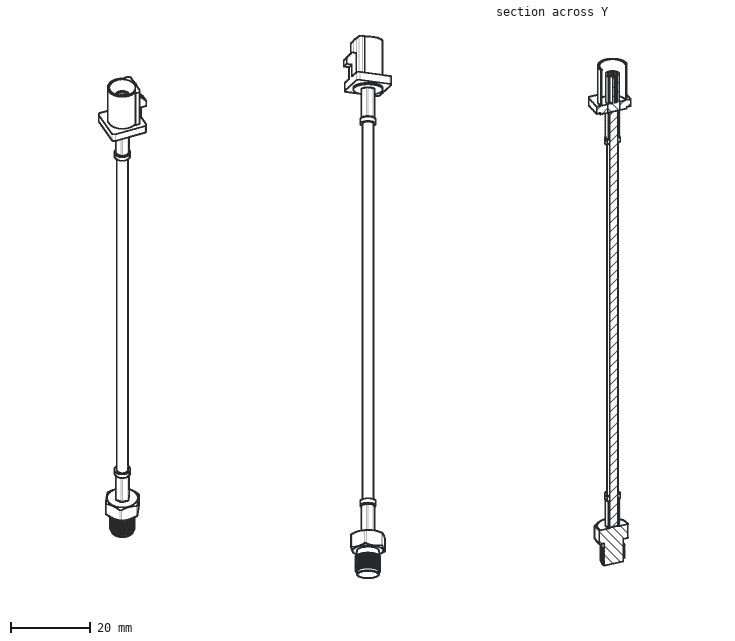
import cadquery as cq
import math

overall_length = 144.0

flange_size = 9.5
flange_top = 133.6
flange_bottom = 131.5
flange_corner_radius = 0.7
boss_height = 0.5
housing_bottom = flange_bottom - boss_height
tube_diameter = 7.5
tube_bore = 6.6

key_width = 6.9
key_inner_y = 2.2
key_outer_y = 3.6
key_corner_radius = 0.7

latch_width = 2.2
latch_root_y = 3.5
latch_rib_y = flange_size / 2
latch_tip_y = 6.2
latch_top = 140.1
latch_slope_end = 138.4
latch_hook_bottom = 136.8

contact_diameter = 3.5
contact_bore = 2.5
contact_top = 141.5
contact_bore_floor = flange_top
pin_diameter = 1.6
pin_tip_diameter = 0.94

cable_diameter = 2.9
ferrule_across_flats = 3.3
ferrule_corner_radius = 0.5
ferrule_rim_diameter = 4.0
ferrule_rim_height = 1.5
ferrule_rim_chamfer = 0.3
ferrule_length = 9.2

nut_across_flats = 8.0
nut_corner_radius = 0.5
nut_bottom = 6.5
nut_top = 10.7
nut_chamfer_height = 0.5
nut_face_diameter = 7.8
thread_major = 6.3
thread_minor = 5.6
thread_pitch = 0.7
thread_flat = 0.1
thread_count = 6
thread_start = 0.9
end_chamfer = 0.1


def cylinder(diameter, bottom, top):
    return cq.Workplane("XY").workplane(offset=bottom).circle(diameter / 2).extrude(top - bottom)


def revolved(outline):
    """Full turn about Z of an outline given as (radius, height) points."""
    return cq.Workplane("XZ").polyline(outline).close().revolve(360, (0, 0, 0), (0, 1, 0))


def across_corners(across_flats):
    """Distance across the sharp corners of a hexagon."""
    return across_flats / math.cos(math.pi / 6)


def hex_prism(across_flats, corner_radius, bottom, top):
    """Hexagonal prism with rounded corners and two flats facing +X and -X."""
    sharp_diameter = across_corners(across_flats)
    prism = cq.Workplane("XY").workplane(offset=bottom).polygon(6, sharp_diameter).extrude(top - bottom)
    return prism.edges("|Z").fillet(corner_radius).rotate((0, 0, 0), (0, 0, 1), 30)


def make_latch():
    """Hooked catch with a sloped lead-in, standing on a rib above the flange."""
    outline = [
        (latch_root_y, flange_top),
        (latch_rib_y, flange_top),
        (latch_rib_y, latch_hook_bottom),
        (latch_tip_y, latch_hook_bottom),
        (latch_tip_y, latch_slope_end),
        (latch_rib_y, latch_top),
        (latch_root_y, latch_top),
    ]
    return cq.Workplane("YZ").polyline(outline).close().extrude(latch_width / 2, both=True)


def make_housing():
    flange = (
        cq.Workplane("XY")
        .workplane(offset=flange_bottom)
        .rect(flange_size, flange_size)
        .extrude(flange_top - flange_bottom)
        .edges("|Z")
        .fillet(flange_corner_radius)
    )
    key = (
        cq.Workplane("XY")
        .workplane(offset=flange_top)
        .center(0, (key_inner_y + key_outer_y) / 2)
        .rect(key_width, key_outer_y - key_inner_y)
        .extrude(overall_length - flange_top)
        .edges("|Z and >Y")
        .fillet(key_corner_radius)
    )
    tube = cylinder(tube_diameter, housing_bottom, overall_length)
    socket = cylinder(tube_bore, flange_top, overall_length)
    contact_hole = cylinder(contact_diameter, housing_bottom, flange_top)
    return flange.union(tube).union(key).union(make_latch()).cut(socket).cut(contact_hole)


def make_contact():
    """Tubular contact with a bevelled centre pin rising from the floor of its bore."""
    shell = cylinder(contact_diameter, housing_bottom, contact_top)
    bore = cylinder(contact_bore, contact_bore_floor, contact_top)
    pin = cylinder(pin_diameter, contact_bore_floor, contact_top)
    pin = pin.faces(">Z").chamfer((pin_diameter - pin_tip_diameter) / 2)
    return shell.cut(bore).union(pin)


def make_ferrule(connector_z, direction):
    """Hexagonal sleeve running from the connector along direction (+1 up, -1 down) to a round rim."""
    far_end = connector_z + direction * ferrule_length
    rim_start = far_end - direction * ferrule_rim_height
    sleeve = hex_prism(ferrule_across_flats, ferrule_corner_radius, connector_z, rim_start)
    rim = cylinder(ferrule_rim_diameter, rim_start, far_end)
    sleeve_side = "<Z" if direction > 0 else ">Z"
    rim = rim.faces(sleeve_side).chamfer(ferrule_rim_chamfer)
    cable_hole = cylinder(cable_diameter, connector_z, far_end)
    return sleeve.union(rim).cut(cable_hole)


def make_cable():
    return cylinder(cable_diameter, nut_top, housing_bottom)


def make_nut():
    """Hexagonal nut whose corners are turned to a cone at both ends."""
    corner_radius = across_corners(nut_across_flats) / 2
    face_radius = nut_face_diameter / 2
    turned_outline = [
        (0, nut_bottom),
        (face_radius, nut_bottom),
        (corner_radius, nut_bottom + nut_chamfer_height),
        (corner_radius, nut_top - nut_chamfer_height),
        (face_radius, nut_top),
        (0, nut_top),
    ]
    prism = hex_prism(nut_across_flats, nut_corner_radius, nut_bottom, nut_top)
    return prism.intersect(revolved(turned_outline))


def make_threaded_end():
    """Chamfered core with the thread modelled as equal ridges with flat crests and roots."""
    core_radius = thread_minor / 2
    crest_radius = thread_major / 2
    flank_height = (thread_pitch - 2 * thread_flat) / 2
    outline = [(0, 0), (core_radius - end_chamfer, 0), (core_radius, end_chamfer)]
    for index in range(thread_count):
        ridge_bottom = thread_start + index * thread_pitch
        crest_bottom = ridge_bottom + flank_height
        crest_top = crest_bottom + thread_flat
        outline += [
            (core_radius, ridge_bottom),
            (crest_radius, crest_bottom),
            (crest_radius, crest_top),
            (core_radius, crest_top + flank_height),
        ]
    outline += [(core_radius, nut_bottom), (0, nut_bottom)]
    return revolved(outline)


def make_threaded_connector():
    return make_nut().union(make_threaded_end())


housing = make_housing()
contact = make_contact()
cable = make_cable()
threaded_connector = make_threaded_connector()
ferrules = []
for connector_z, direction in [(housing_bottom, -1), (nut_top, 1)]:
    ferrules.append(make_ferrule(connector_z, direction).val())

result = cq.Compound.makeCompound(
    [housing.val(), contact.val(), cable.val(), threaded_connector.val(), *ferrules]
)